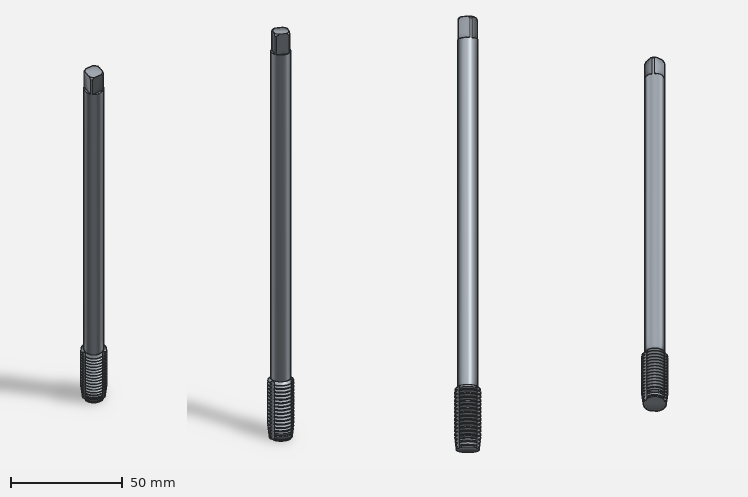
import cadquery as cq

TOTAL_LENGTH = 200.0
HEAD_LENGTH = 29.0

SHANK_DIAMETER = 9.0
SQUARE_WIDTH = 7.0
SQUARE_LENGTH = 10.0
END_CHAMFER_WIDTH = 0.5
END_CHAMFER_HEIGHT = 1.0

THREAD_DIAMETER = 12.0
VALLEY_COUNT = 16
THREADED_LENGTH = 28.0
THREAD_DEPTH = 1.0
CREST_WIDTH = 0.2
TOP_CHAMFER = 1.5
LEAD_LENGTH = 6.8
LEAD_END_RADIUS = 5.2

FLUTE_COUNT = 3
FLUTE_RADIUS = 2.0
FLUTE_FLOOR_RADIUS = 4.8
FIRST_FLUTE_ANGLE = -90.0

THREAD_PITCH = THREADED_LENGTH / VALLEY_COUNT
THREAD_RADIUS = THREAD_DIAMETER / 2
ROOT_RADIUS = THREAD_RADIUS - THREAD_DEPTH


def make_shank():
    """Round shank standing on the head, with a chamfered square at its upper end."""
    radius = SHANK_DIAMETER / 2
    round_bar = (
        cq.Workplane("XZ")
        .moveTo(0, HEAD_LENGTH)
        .lineTo(radius, HEAD_LENGTH)
        .lineTo(radius, TOTAL_LENGTH - END_CHAMFER_HEIGHT)
        .lineTo(radius - END_CHAMFER_WIDTH, TOTAL_LENGTH)
        .lineTo(0, TOTAL_LENGTH)
        .close()
        .revolve(360, (0, 0, 0), (0, 1, 0))
    )
    square_base = cq.Workplane("XY", origin=(0, 0, TOTAL_LENGTH - SQUARE_LENGTH))
    waste = (
        square_base.rect(2 * SHANK_DIAMETER, 2 * SHANK_DIAMETER)
        .rect(SQUARE_WIDTH, SQUARE_WIDTH)
        .extrude(SQUARE_LENGTH)
    )
    return round_bar.cut(waste)


def make_head_blank():
    """Turned blank with a tapered lead below and a small chamfer above."""
    return (
        cq.Workplane("XZ")
        .moveTo(0, 0)
        .lineTo(LEAD_END_RADIUS, 0)
        .lineTo(THREAD_RADIUS, LEAD_LENGTH)
        .lineTo(THREAD_RADIUS, HEAD_LENGTH - TOP_CHAMFER)
        .lineTo(THREAD_RADIUS - TOP_CHAMFER, HEAD_LENGTH)
        .lineTo(0, HEAD_LENGTH)
        .close()
        .revolve(360, (0, 0, 0), (0, 1, 0))
    )


def make_thread_groove(root_z):
    """V-shaped ring that cuts one thread valley, carried on past the crest."""
    half_width = THREAD_PITCH - CREST_WIDTH
    outer_radius = ROOT_RADIUS + 2 * THREAD_DEPTH
    return (
        cq.Workplane("XZ")
        .moveTo(ROOT_RADIUS, root_z)
        .lineTo(outer_radius, root_z + half_width)
        .lineTo(outer_radius, root_z - half_width)
        .close()
        .revolve(360, (0, 0, 0), (0, 1, 0))
    )


def make_flute_cutter(angle):
    """Round cutter lying along the head at the given angle about Z."""
    return (
        cq.Workplane("XY")
        .center(FLUTE_FLOOR_RADIUS + FLUTE_RADIUS, 0)
        .circle(FLUTE_RADIUS)
        .extrude(HEAD_LENGTH)
        .rotate((0, 0, 0), (0, 0, 1), angle)
    )


def make_head():
    """Blank with ring-shaped thread valleys and evenly spaced flutes."""
    head = make_head_blank()
    for index in range(VALLEY_COUNT):
        head = head.cut(make_thread_groove((index + 0.5) * THREAD_PITCH))
    for index in range(FLUTE_COUNT):
        head = head.cut(make_flute_cutter(FIRST_FLUTE_ANGLE + index * 360 / FLUTE_COUNT))
    return head


shank = make_shank()
head = make_head()
result = cq.Compound.makeCompound([shank.val(), head.val()])